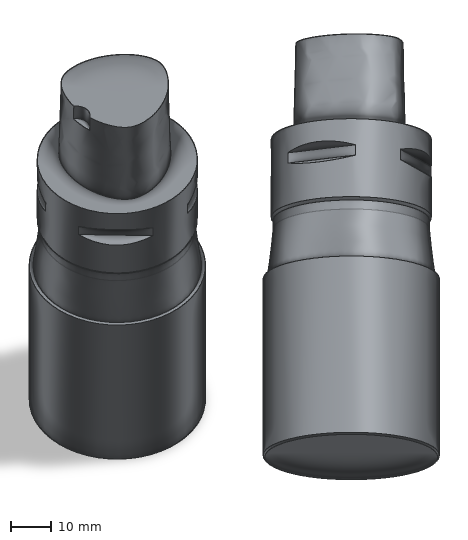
import cadquery as cq
import math

TOTAL_HEIGHT = 106.0
SLEEVE_HEIGHT = 46.0
NECK_BOTTOM = 58.8
NECK_TOP = 61.2
FLANGE_BOTTOM = 61.9
FLANGE_TOP = 82.0

SLEEVE_RADIUS = 44.0 / 2
SLEEVE_CHAMFER = 0.4

FLANGE_RADIUS = 40.0 / 2
NECK_RADIUS = 39.0 / 2
FLARE_RADIUS = 42.1 / 2
FLARE_HOLLOW = 0.1

SHANK_BASE_RADIUS = 14.0
SHANK_WALL_SLOPE = 1 / 40
LOBE_ECCENTRICITY = 1.0
LOBES = 3
POINTS_PER_LOBE = 12
SHANK_HEIGHT = TOTAL_HEIGHT - FLANGE_TOP
SHANK_TOP_RADIUS = SHANK_BASE_RADIUS - SHANK_HEIGHT * SHANK_WALL_SLOPE

NOTCH_RADIUS = 3.5
NOTCH_DEPTH = 4.2
NOTCH_FLOOR_REACH = 10.7

GROOVE_COUNT = 4
GROOVE_START_ANGLE = 45
GROOVE_MIDDLE_Z = 74.0
GROOVE_FLOOR_DISTANCE = 17.7
GROOVE_FLOOR_WIDTH = 2.6
GROOVE_SIDE_ANGLE = 30
GROOVE_OVERSHOOT = 1.1


def make_sleeve():
    sleeve = cq.Workplane("XY").circle(SLEEVE_RADIUS).extrude(SLEEVE_HEIGHT)
    return sleeve.faces("<Z").edges().chamfer(SLEEVE_CHAMFER)


def make_adapter_base():
    """Flared foot, neck and flange, revolved about Z."""
    flare_middle = (
        (FLARE_RADIUS + NECK_RADIUS) / 2 - FLARE_HOLLOW,
        (SLEEVE_HEIGHT + NECK_BOTTOM) / 2,
    )
    return (
        cq.Workplane("XZ")
        .moveTo(0, SLEEVE_HEIGHT)
        .lineTo(FLARE_RADIUS, SLEEVE_HEIGHT)
        .threePointArc(flare_middle, (NECK_RADIUS, NECK_BOTTOM))
        .lineTo(NECK_RADIUS, NECK_TOP)
        .lineTo(FLANGE_RADIUS, FLANGE_BOTTOM)
        .lineTo(FLANGE_RADIUS, FLANGE_TOP)
        .lineTo(0, FLANGE_TOP)
        .close()
        .revolve(360, (0, 0), (0, 1))
    )


def lobed_wire(mean_radius, z):
    """Constant-width lobed outline with one lobe pointing to +Y.

    Its tangent line facing direction t lies mean_radius + e * cos(LOBES * t) from the axis.
    """
    count = LOBES * POINTS_PER_LOBE
    points = []
    for i in range(count):
        turn = 2 * math.pi * i / count
        support = mean_radius + LOBE_ECCENTRICITY * math.cos(LOBES * turn)
        slope = -LOBES * LOBE_ECCENTRICITY * math.sin(LOBES * turn)
        along_lobe = support * math.cos(turn) - slope * math.sin(turn)
        across_lobe = support * math.sin(turn) + slope * math.cos(turn)
        points.append(cq.Vector(-across_lobe, along_lobe, z))
    return cq.Wire.assembleEdges([cq.Edge.makeSpline(points, periodic=True)])


def make_shank():
    base = lobed_wire(SHANK_BASE_RADIUS, FLANGE_TOP)
    top = lobed_wire(SHANK_TOP_RADIUS, TOTAL_HEIGHT)
    return cq.Workplane(cq.Solid.makeLoft([base, top], True))


def make_notch():
    return (
        cq.Workplane("XY", origin=(0, 0, TOTAL_HEIGHT - NOTCH_DEPTH))
        .center(0, -(NOTCH_FLOOR_REACH + NOTCH_RADIUS))
        .circle(NOTCH_RADIUS)
        .extrude(NOTCH_DEPTH)
    )


def make_groove(angle):
    """Cutter for one straight groove facing the given direction about Z."""
    outer_distance = FLANGE_RADIUS + GROOVE_OVERSHOOT
    depth = outer_distance - GROOVE_FLOOR_DISTANCE
    floor_half = GROOVE_FLOOR_WIDTH / 2
    mouth_half = floor_half + depth * math.tan(math.radians(GROOVE_SIDE_ANGLE))
    return (
        cq.Workplane("XZ", origin=(0, 0, GROOVE_MIDDLE_Z))
        .moveTo(GROOVE_FLOOR_DISTANCE, -floor_half)
        .lineTo(outer_distance, -mouth_half)
        .lineTo(outer_distance, mouth_half)
        .lineTo(GROOVE_FLOOR_DISTANCE, floor_half)
        .close()
        .extrude(FLANGE_RADIUS, both=True)
        .rotate((0, 0, 0), (0, 0, 1), angle)
    )


def make_adapter():
    adapter = make_adapter_base().union(make_shank()).cut(make_notch())
    for i in range(GROOVE_COUNT):
        adapter = adapter.cut(make_groove(GROOVE_START_ANGLE + i * 360 / GROOVE_COUNT))
    return adapter


sleeve = make_sleeve()
adapter = make_adapter()
result = cq.Compound.makeCompound([sleeve.val(), *adapter.vals()])